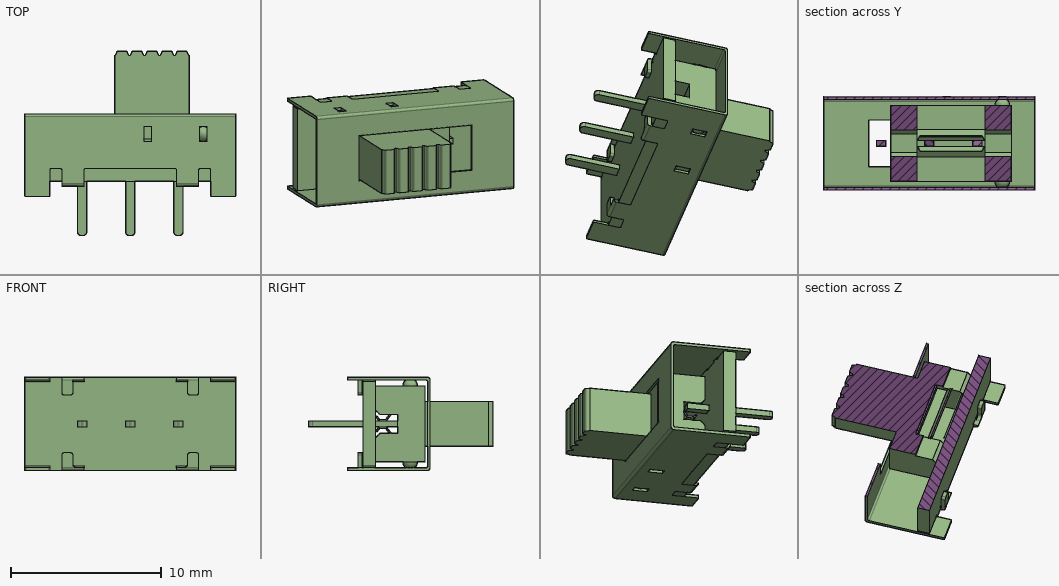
import cadquery as cq
import math


LENGTH = 14.0
COVER_HEIGHT = 6.2
COVER_DEPTH = 5.49
SHEET = 0.2
BACK_WALL = 0.17
BEND_OUTER_RADIUS = 0.18
BEND_INNER_RADIUS = 0.13
COVER_TOP = COVER_HEIGHT / 2
COVER_INNER_TOP = COVER_TOP - SHEET
SLOT_HALF_LENGTH = 4.0
SLOT_HALF_HEIGHT = 1.54

FOOT_LENGTH = 1.67
FOOT_INNER_X = LENGTH / 2 - FOOT_LENGTH
TAB_OUTER_X = 4.54
TAB_LENGTH = 1.47
TAB_INNER_X = TAB_OUTER_X - TAB_LENGTH
TAB_FRONT_Y = -4.8
TONGUE_BACK_Y = -4.52
TONGUE_WIDTH = 0.73
TONGUE_END_Z = 1.9
TONGUE_CORNER_RADIUS = 0.17
TONGUE_ROOT_RADIUS = 0.28
SHEET_CORNER_RADIUS = 0.08

BASE_BACK_Y = -3.63
BASE_FRONT_Y = -4.47
BASE_HALF_HEIGHT = 2.8

PIN_PITCH = 3.19
PIN_WIDTH = 0.63
PIN_THICKNESS = 0.39
PIN_INNER_Y = -2.15
PIN_TIP_Y = -8.08
PIN_TIP_RADIUS = 0.27

SLIDER_X = 1.44
SLIDER_LENGTH = 8.01
SLIDER_BACK_Y = -0.34
SLIDER_HALF_HEIGHT = 2.52
KNOB_HALF_HEIGHT = 1.5
KNOB_END_Y = 4.17
RIDGE_COUNT = 5
RIDGE_PITCH = 1.0
RIDGE_LAND = 0.63
RIDGE_DEPTH = 0.3
RIDGE_VALLEY = 0.08
RIDGE_RADIUS = 0.08
KNOB_WIDTH = RIDGE_COUNT * RIDGE_PITCH
PIN_SLOT_HALF_HEIGHT = 0.62
PIN_SLOT_LEAD_IN = 0.3

BALL_RADIUS = 0.49
DETENT_Y = -1.33
BALL_X = 4.85
WINDOW_XS = (1.15, BALL_X)
WINDOW_LENGTH = 0.49
WINDOW_DEPTH = 0.98

CLIP_LENGTH = 4.48
CLIP_THICKNESS = 0.11
CLIP_BACK_Y = -1.65
CLIP_HALF_HEIGHT = 0.91
CLIP_FLAT_BACK_Y = -2.95
CLIP_FLAT_FRONT_Y = -3.36
CLIP_SLOPE = math.radians(53)
CLIP_FLARE_RUN = 0.17
CLIP_FLARE_TAPER = 1.5


def box(x_range, y_range, z_range):
    """A box between two limits along each axis."""
    size = [abs(high - low) for low, high in (x_range, y_range, z_range)]
    return cq.Workplane().box(*size, centered=False).translate(
        (min(x_range), min(y_range), min(z_range))
    )


def mirrored(half, plane):
    """One solid from a half shape and its mirror image."""
    return half.union(half.mirror(plane))


def flange_notches():
    """The gaps beside the tabs in both flanges, which the base fills."""
    front_to_back = (-COVER_DEPTH, BASE_BACK_Y)
    height = (BASE_HALF_HEIGHT, COVER_TOP)
    middle = box((-TAB_INNER_X, TAB_INNER_X), front_to_back, height)
    side = box((TAB_OUTER_X, FOOT_INNER_X), front_to_back, height)
    upper = middle.union(side).union(side.mirror("YZ")).edges("|Z and >Y").fillet(SHEET_CORNER_RADIUS)
    return mirrored(upper, "XY")


def make_channel():
    """The bent sheet of the cover, with its flanges cut to feet and tab plates."""
    outside = box((-LENGTH / 2, LENGTH / 2), (-COVER_DEPTH, 0), (-COVER_TOP, COVER_TOP))
    inside = box(
        (-LENGTH / 2, LENGTH / 2), (-COVER_DEPTH, -BACK_WALL), (-COVER_INNER_TOP, COVER_INNER_TOP)
    )
    outside = outside.edges("|X and >Y").fillet(BEND_OUTER_RADIUS)
    inside = inside.edges("|X and >Y").fillet(BEND_INNER_RADIUS)
    channel = outside.cut(inside)
    beyond_tabs = box(
        (-FOOT_INNER_X, FOOT_INNER_X), (-COVER_DEPTH, TONGUE_BACK_Y), (-COVER_TOP, COVER_TOP)
    )
    channel = channel.cut(beyond_tabs).cut(flange_notches())
    return channel.edges("|Z and <Y").fillet(SHEET_CORNER_RADIUS)


def make_tab_end(root_radius):
    """The front end of the +X, +Z tab: its rounded bend and the tongue folded over the base."""
    bend = (
        cq.Workplane("YZ", origin=(TAB_INNER_X, 0, 0))
        .moveTo(TONGUE_BACK_Y, COVER_TOP)
        .lineTo(TAB_FRONT_Y + SHEET, COVER_TOP)
        .radiusArc((TAB_FRONT_Y, COVER_INNER_TOP), -SHEET)
        .lineTo(TONGUE_BACK_Y, COVER_INNER_TOP)
        .close()
        .extrude(TAB_LENGTH)
    )
    tongue_x = (TAB_OUTER_X - TONGUE_WIDTH, TAB_OUTER_X)
    tongue = box(tongue_x, (TAB_FRONT_Y, TONGUE_BACK_Y), (TONGUE_END_Z, COVER_INNER_TOP))
    tongue = tongue.edges("|Y and <Z").fillet(TONGUE_CORNER_RADIUS)
    tab_end = bend.union(tongue)
    if root_radius > 0:
        root = cq.selectors.NearestToPointSelector(
            (tongue_x[0], (TAB_FRONT_Y + TONGUE_BACK_Y) / 2, COVER_INNER_TOP)
        )
        tab_end = tab_end.edges(root).fillet(root_radius)
    return tab_end


def make_cover(ball_spaces):
    """The channel with its tabs, the knob's slot, the detent windows and room for the balls under them."""
    upper_tab_ends = mirrored(make_tab_end(0), "YZ")
    lower_tab_ends = mirrored(make_tab_end(TONGUE_ROOT_RADIUS), "YZ").mirror("XY")
    slot = box(
        (-SLOT_HALF_LENGTH, SLOT_HALF_LENGTH), (-BACK_WALL, 0), (-SLOT_HALF_HEIGHT, SLOT_HALF_HEIGHT)
    )
    windows = (
        cq.Workplane("XY", origin=(0, 0, -COVER_TOP))
        .pushPoints([(x, DETENT_Y) for x in WINDOW_XS])
        .rect(WINDOW_LENGTH, WINDOW_DEPTH)
        .extrude(COVER_HEIGHT)
    )
    cover = make_channel().union(upper_tab_ends).union(lower_tab_ends).cut(slot).cut(windows)
    for ball in ball_spaces:
        cover = cover.cut(ball)
    return cover


def make_base(pin_spaces):
    """The base plate, with blocks that fill the flange notches and holes for the pins."""
    half_length = LENGTH / 2
    plate = box(
        (-half_length, half_length), (BASE_FRONT_Y, BASE_BACK_Y), (-BASE_HALF_HEIGHT, BASE_HALF_HEIGHT)
    )
    reach = box((-half_length, half_length), (BASE_FRONT_Y, BASE_BACK_Y), (-COVER_TOP, COVER_TOP))
    base = plate.union(flange_notches().intersect(reach))
    for pin in pin_spaces:
        base = base.cut(pin)
    return base


def make_pin(x):
    """A flat pin with a rounded tip."""
    pin = box(
        (x - PIN_WIDTH / 2, x + PIN_WIDTH / 2),
        (PIN_TIP_Y, PIN_INNER_Y),
        (-PIN_THICKNESS / 2, PIN_THICKNESS / 2),
    )
    return pin.edges("|Z and <Y").fillet(PIN_TIP_RADIUS)


def make_ball(side):
    """A detent ball, half sunk in the slider's upper (side = 1) or lower (side = -1) face."""
    return cq.Workplane(origin=(BALL_X, DETENT_Y, side * SLIDER_HALF_HEIGHT)).sphere(BALL_RADIUS)


def make_knob():
    """The knob, with ridges across its end."""
    left = SLIDER_X - KNOB_WIDTH / 2
    valley_y = KNOB_END_Y - RIDGE_DEPTH
    valley_offset = RIDGE_VALLEY / 2
    land_offset = (RIDGE_PITCH - RIDGE_LAND) / 2
    outline = [(left, SLIDER_BACK_Y), (left, valley_y)]
    for ridge in range(RIDGE_COUNT):
        start = left + ridge * RIDGE_PITCH
        end = start + RIDGE_PITCH
        outline += [
            (start + valley_offset, valley_y),
            (start + land_offset, KNOB_END_Y),
            (end - land_offset, KNOB_END_Y),
            (end - valley_offset, valley_y),
        ]
    right = left + KNOB_WIDTH
    outline += [(right, valley_y), (right, SLIDER_BACK_Y)]
    knob = cq.Workplane().polyline(outline).close().extrude(KNOB_HALF_HEIGHT, both=True)
    return knob.edges("|Z and >Y").fillet(RIDGE_RADIUS)


def make_slider(ball_spaces):
    """The slider body with its knob, the slot over the pins, the clip's pocket and the ball sockets."""
    left = SLIDER_X - SLIDER_LENGTH / 2
    body = box(
        (left, left + SLIDER_LENGTH),
        (BASE_BACK_Y, SLIDER_BACK_Y),
        (-SLIDER_HALF_HEIGHT, SLIDER_HALF_HEIGHT),
    )
    lead_in_y = BASE_BACK_Y + PIN_SLOT_LEAD_IN
    mouth_half_height = PIN_SLOT_HALF_HEIGHT + PIN_SLOT_LEAD_IN
    half_slot = [
        (PIN_INNER_Y, 0),
        (PIN_INNER_Y, PIN_SLOT_HALF_HEIGHT),
        (lead_in_y, PIN_SLOT_HALF_HEIGHT),
        (BASE_BACK_Y, mouth_half_height),
        (BASE_BACK_Y, 0),
    ]
    pin_slot = cq.Workplane("YZ", origin=(left, 0, 0)).polyline(half_slot).close().extrude(SLIDER_LENGTH)
    clip_pocket = box(
        (SLIDER_X - CLIP_LENGTH / 2, SLIDER_X + CLIP_LENGTH / 2),
        (BASE_BACK_Y, CLIP_BACK_Y),
        (-SLIDER_HALF_HEIGHT, SLIDER_HALF_HEIGHT),
    )
    slider = body.union(make_knob()).cut(mirrored(pin_slot, "XY")).cut(clip_pocket)
    for ball in ball_spaces:
        slider = slider.cut(ball)
    return slider


def make_clip():
    """The contact clip, bent from one strip, with flared and tapered arm ends."""
    pin_z = PIN_THICKNESS / 2
    flat_z = pin_z + CLIP_THICKNESS
    bend_shift = CLIP_THICKNESS * math.tan(CLIP_SLOPE / 2)
    arm_bend_y = CLIP_FLAT_BACK_Y + (CLIP_HALF_HEIGHT - flat_z) / math.tan(CLIP_SLOPE)
    tip_y = CLIP_FLAT_FRONT_Y - CLIP_FLARE_RUN
    tip_z = flat_z + CLIP_FLARE_RUN * math.tan(CLIP_SLOPE)
    outer_side = [
        (CLIP_BACK_Y, 0),
        (CLIP_BACK_Y, CLIP_HALF_HEIGHT),
        (arm_bend_y, CLIP_HALF_HEIGHT),
        (CLIP_FLAT_BACK_Y, flat_z),
        (CLIP_FLAT_FRONT_Y, flat_z),
        (tip_y, tip_z),
    ]
    inner_side = [
        (tip_y - CLIP_THICKNESS * math.sin(CLIP_SLOPE), tip_z - CLIP_THICKNESS * math.cos(CLIP_SLOPE)),
        (CLIP_FLAT_FRONT_Y - bend_shift, pin_z),
        (CLIP_FLAT_BACK_Y + bend_shift, pin_z),
        (arm_bend_y + bend_shift, CLIP_HALF_HEIGHT - CLIP_THICKNESS),
        (CLIP_BACK_Y - CLIP_THICKNESS, CLIP_HALF_HEIGHT - CLIP_THICKNESS),
        (CLIP_BACK_Y - CLIP_THICKNESS, 0),
    ]
    left = SLIDER_X - CLIP_LENGTH / 2
    right = left + CLIP_LENGTH
    arm_side = cq.Workplane("YZ", origin=(left, 0, 0)).polyline(outer_side + inner_side).close()
    arm = arm_side.extrude(CLIP_LENGTH)
    for edge_x, inward in ((left, 0.14), (right, -0.14)):
        taper = (
            cq.Workplane("XZ", origin=(0, CLIP_FLAT_FRONT_Y, 0))
            .polyline([(edge_x, pin_z), (edge_x, tip_z), (edge_x + inward * CLIP_FLARE_TAPER, tip_z)])
            .close()
            .extrude(CLIP_FLAT_FRONT_Y - BASE_BACK_Y)
        )
        arm = arm.cut(taper)
    return mirrored(arm, "XY")


pins = [make_pin(index * PIN_PITCH) for index in (-1, 0, 1)]
balls = [make_ball(side) for side in (1, -1)]
cover = make_cover(balls)
base = make_base(pins)
slider = make_slider(balls)
clip = make_clip()

result = cq.Compound.makeCompound(
    [
        cover.solids().val(),
        base.solids().val(),
        slider.solids().val(),
        clip.solids().val(),
        *[pin.solids().val() for pin in pins],
        *[ball.solids().val() for ball in balls],
    ]
)